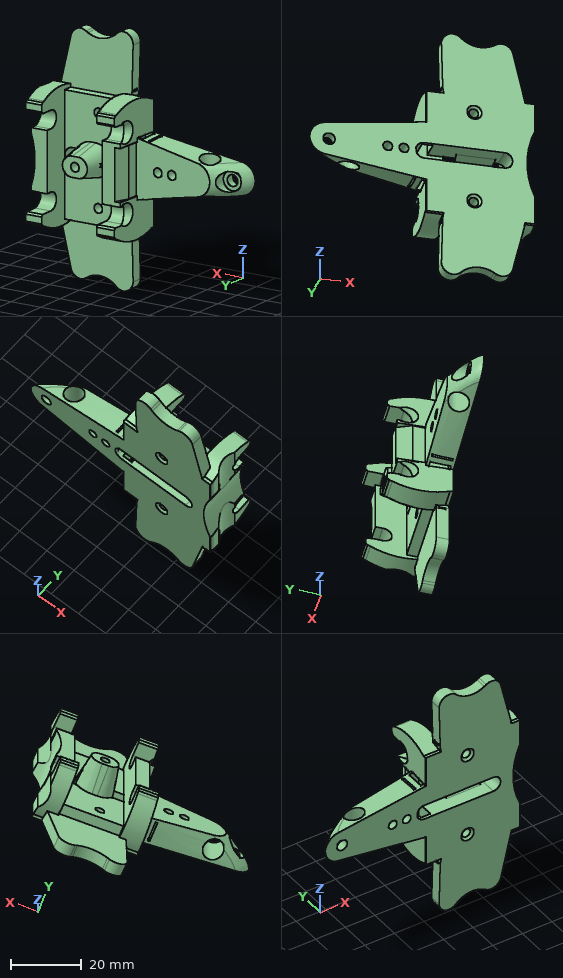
import cadquery as cq
import math


body_left = 33.9
body_right = 65.95
body_half_height = 19.0
foot_depth = 1.1
edge_chamfer = 0.2
block_depth = 7.1
edge_scallop_half_height = 10.6
edge_scallop_depth = 2.45

wing_thickness = 3.9
wing_half_span = 38.2
wing_root_left = 39.15
wing_root_right = 63.0
wing_kink = (38.85, 20.6)
inner_lobe_radius = 3.35
inner_lobe_x = 41.8
outer_lobe_radius = 3.35
outer_lobe_center = (56.1, 33.5)
wing_valley_radius = 7.9
wing_flat_length = 0.8
wing_slit_z = 21.0
wing_slit_height = 0.45
wing_slit_depth = 2.05

tail_depth = 8.0
tail_root_x = 34.65
tail_root_half_height = 9.15
tail_end_radius = 5.0
nose_sections = [(0.0, 0.0), (3.05, 2.8), (tail_depth, 10.15)]
eye_x = 5.7
eye_diameter = 3.4
eye_recess_diameter = 6.0
eye_recess_floor = 3.05
cross_hole_diameter = 6.0
cross_hole_x = 12.5
cross_hole_y = 4.1
tail_hole_positions = [22.8, 27.55]
tail_hole_diameter = 2.75
tail_slits = [(30.6, 31.2), (33.05, 36.25)]
slit_start = 1.1

lug_depth = 19.0
lug_half_height = 20.7
lug_crest_y = 8.85
left_lug_inner_x = 40.9
right_lug_inner_x = 59.4
left_lug_tip_x = 35.0
right_lug_tip_x = 64.7
right_lug_waist = [(65.7, 4.05), (64.6, 5.8), (64.05, 8.5), (64.95, 11.8)]
hook_nose = [(17.7, 18.4), (18.5, 18.1), (lug_depth, 17.5)]
hook_tip_bevel = 0.6
saddle_radius = 2.75
saddle_z = 12.05
saddle_y = 14.1
saddle_flare_radius = 3.4
saddle_flare_x = 34.5
saddle_flare_y = 13.6
saddle_flare_depth = 2.3
lug_middle_depth = 16.2
ramp_half_height = 7.95
ramp_face_x = 34.8
ramp_start_y = 11.75
ramp_end_x = 36.65

slot_left = 31.1
slot_right = 59.2
slot_width = 4.9
slot_depth = block_depth
post_x = 50.1
post_top_y = 16.1
post_left_flat = 49.1
post_base_y = 4.6
post_base_radius = 5.65
post_base_flat = 1.4
post_top_radius = 3.1
post_top_flat = 2.05
post_groove_top_y = 10.85
post_groove_top_width = 1.0
post_hole_diameter = 2.75
mount_x = 48.1
mount_z = 14.05
mount_hole_diameter = 2.75
mount_sink_diameter = 4.3
mount_sink_depth = 0.8


def front_plane(y=0.0):
    """Plane parallel to the front face at depth y; local axes are X and Z."""
    return cq.Workplane("XZ", origin=(0, y, 0))


def cylinder_y(x, z, diameter, start, end):
    return front_plane(start).center(x, z).circle(diameter / 2).extrude(start - end)


def box(x0, x1, y0, y1, z0, z1):
    return cq.Workplane("XY").box(x1 - x0, y1 - y0, z1 - z0, centered=False).translate((x0, y0, z0))


def cross_tangent(center, radius, other, other_radius, side):
    """Ends of the line that touches two separate circles and crosses between them."""
    heading = math.atan2(other[1] - center[1], other[0] - center[0])
    heading += side * math.acos((radius + other_radius) / math.dist(center, other))
    start = (center[0] + radius * math.cos(heading), center[1] + radius * math.sin(heading))
    end = (other[0] - other_radius * math.cos(heading), other[1] - other_radius * math.sin(heading))
    return start, end


def right_tangent_point(center, radius, corner):
    """Tangency on the right of a circle for a line from a corner below it."""
    dx = corner[0] - center[0]
    dz = corner[1] - center[1]
    angle = math.atan2(dz, dx) + math.acos(radius / math.hypot(dx, dz))
    return (center[0] + radius * math.cos(angle), center[1] + radius * math.sin(angle))


def wing():
    lobe = (inner_lobe_x, wing_half_span - inner_lobe_radius)
    span = math.dist(lobe, outer_lobe_center)
    to_inner = math.hypot(wing_valley_radius + inner_lobe_radius, wing_flat_length)
    to_outer = math.hypot(wing_valley_radius + outer_lobe_radius, wing_flat_length)
    along = (span**2 + to_inner**2 - to_outer**2) / (2 * span)
    across = math.sqrt(to_inner**2 - along**2)
    ux = (outer_lobe_center[0] - lobe[0]) / span
    uz = (outer_lobe_center[1] - lobe[1]) / span
    valley = (lobe[0] + along * ux - across * uz, lobe[1] + along * uz + across * ux)
    inner_end, valley_start = cross_tangent(lobe, inner_lobe_radius, valley, wing_valley_radius, 1)
    outer_start, valley_end = cross_tangent(
        outer_lobe_center, outer_lobe_radius, valley, wing_valley_radius, -1
    )
    root_right = (wing_root_right, body_half_height)
    outer_end = right_tangent_point(outer_lobe_center, outer_lobe_radius, root_right)
    return (
        front_plane()
        .moveTo(wing_root_left, 0)
        .lineTo(wing_root_left, body_half_height)
        .lineTo(*wing_kink)
        .lineTo(lobe[0] - inner_lobe_radius, lobe[1])
        .threePointArc((lobe[0], wing_half_span), inner_end)
        .lineTo(*valley_start)
        .threePointArc((valley[0], valley[1] - wing_valley_radius), valley_end)
        .lineTo(*outer_start)
        .threePointArc((outer_lobe_center[0], outer_lobe_center[1] + outer_lobe_radius), outer_end)
        .lineTo(*root_right)
        .lineTo(wing_root_right, 0)
        .close()
        .extrude(-wing_thickness)
    )


def tail():
    """Tapered arm whose round nose leans back as it gets deeper."""
    body = cq.Workplane("XZ")
    level = 0.0
    for y, nose_x in nose_sections:
        center_x = nose_x + tail_end_radius
        dx = tail_root_x - center_x
        angle = math.atan2(tail_root_half_height, dx) + math.acos(
            tail_end_radius / math.hypot(dx, tail_root_half_height)
        )
        tangent_x = center_x + tail_end_radius * math.cos(angle)
        tangent_z = tail_end_radius * math.sin(angle)
        body = (
            body.workplane(offset=level - y)
            .moveTo(tail_root_x, -tail_root_half_height)
            .lineTo(tangent_x, -tangent_z)
            .threePointArc((nose_x, 0), (tangent_x, tangent_z))
            .lineTo(tail_root_x, tail_root_half_height)
            .close()
        )
        level = y
    return body.loft()


def lug_side_profile(x_start, x_end):
    """Upper hook and middle of a lug, mirrored to make the full lug."""
    tip_bottom_z = saddle_z + saddle_radius
    lip_z = saddle_z - saddle_radius
    upper = (
        cq.Workplane("YZ", origin=(x_start, 0, 0))
        .lineTo(0, body_half_height)
        .lineTo(foot_depth, body_half_height)
        .threePointArc((lug_crest_y, lug_half_height), hook_nose[0])
        .lineTo(*hook_nose[1])
        .lineTo(*hook_nose[2])
        .lineTo(lug_depth, tip_bottom_z + hook_tip_bevel)
        .lineTo(lug_depth - hook_tip_bevel, tip_bottom_z)
        .lineTo(saddle_y, tip_bottom_z)
        .threePointArc((saddle_y - saddle_radius, saddle_z), (saddle_y, lip_z))
        .lineTo(lug_middle_depth, lip_z)
        .lineTo(lug_middle_depth, 0)
        .close()
        .extrude(x_end - x_start)
    )
    return upper.union(upper.mirror("XY"))


def extrude_plan(sketch):
    return sketch.close().extrude(wing_half_span, both=True)


def left_lug():
    plan = extrude_plan(
        cq.Workplane("XY")
        .moveTo(body_left + edge_chamfer, 0)
        .lineTo(body_left, edge_chamfer)
        .lineTo(left_lug_tip_x, lug_depth)
        .lineTo(left_lug_inner_x, lug_depth)
        .lineTo(left_lug_inner_x, 0)
    )
    lug = lug_side_profile(body_left, left_lug_inner_x).intersect(plan)
    ramp = (
        cq.Workplane("XY")
        .moveTo(body_left, tail_depth)
        .lineTo(ramp_face_x, tail_depth)
        .lineTo(ramp_face_x, ramp_start_y)
        .lineTo(ramp_end_x, lug_middle_depth)
        .lineTo(body_left, lug_middle_depth)
        .close()
        .extrude(ramp_half_height, both=True)
    )
    lug = lug.cut(ramp)
    for side in (1, -1):
        flare = cq.Solid.makeCone(
            saddle_flare_radius,
            saddle_radius - (saddle_y - saddle_flare_y),
            saddle_flare_depth,
            pnt=cq.Vector(saddle_flare_x, saddle_flare_y, side * saddle_z),
            dir=cq.Vector(1, 0, 0),
        )
        lug = lug.cut(cq.Workplane(flare))
    return lug


def right_lug():
    plan = extrude_plan(
        cq.Workplane("XY")
        .moveTo(right_lug_inner_x, 0)
        .lineTo(body_right - edge_chamfer, 0)
        .lineTo(body_right, edge_chamfer)
        .lineTo(body_right, foot_depth)
        .lineTo(*right_lug_waist[0])
        .spline(right_lug_waist[1:], includeCurrent=True)
        .lineTo(right_lug_tip_x, lug_depth)
        .lineTo(right_lug_inner_x, lug_depth)
    )
    return lug_side_profile(right_lug_inner_x, body_right).intersect(plan)


def post():
    stem = front_plane().center(post_left_flat + post_base_flat / 2, 0)
    stem = stem.slot2D(post_base_flat + 2 * post_base_radius, 2 * post_base_radius).extrude(-post_base_y)
    body = (
        front_plane(post_base_y)
        .center(post_left_flat + post_base_flat / 2, 0)
        .slot2D(post_base_flat + 2 * post_base_radius, 2 * post_base_radius)
        .workplane(offset=post_base_y - post_top_y)
        .center((post_top_flat - post_base_flat) / 2, 0)
        .slot2D(post_top_flat + 2 * post_top_radius, 2 * post_top_radius)
        .loft(ruled=True)
    )
    groove = (
        cq.Workplane("YZ", origin=(left_lug_inner_x, 0, 0))
        .moveTo(0, -slot_width / 2)
        .lineTo(post_base_y, -slot_width / 2)
        .lineTo(post_groove_top_y, -post_groove_top_width / 2)
        .lineTo(post_groove_top_y, post_groove_top_width / 2)
        .lineTo(post_base_y, slot_width / 2)
        .lineTo(0, slot_width / 2)
        .close()
        .extrude(slot_right - left_lug_inner_x)
    )
    hole = cylinder_y(post_x, 0, post_hole_diameter, 0, post_top_y)
    return body.union(stem).cut(groove).cut(hole)


def edge_scallop():
    return (
        front_plane()
        .moveTo(body_right, -edge_scallop_half_height)
        .threePointArc((body_right - edge_scallop_depth, 0), (body_right, edge_scallop_half_height))
        .close()
        .extrude(-lug_depth)
    )


block = box(left_lug_inner_x, right_lug_inner_x, 0, block_depth, -body_half_height, body_half_height)
upper_wing = wing()
body = block.union(upper_wing).union(upper_wing.mirror("XY"))
body = body.union(left_lug()).union(right_lug()).union(tail()).cut(edge_scallop())

slot = (
    front_plane()
    .center((slot_left + slot_right) / 2, 0)
    .slot2D(slot_right - slot_left, slot_width)
    .extrude(-slot_depth)
)
body = body.cut(slot).union(post())

body = body.cut(cylinder_y(eye_x, 0, eye_diameter, 0, tail_depth))
body = body.cut(cylinder_y(eye_x, 0, eye_recess_diameter, eye_recess_floor, tail_depth))
for hole_x in tail_hole_positions:
    body = body.cut(cylinder_y(hole_x, 0, tail_hole_diameter, 0, tail_depth))
cross_hole = (
    cq.Workplane("XY")
    .center(cross_hole_x, cross_hole_y)
    .circle(cross_hole_diameter / 2)
    .extrude(tail_root_half_height, both=True)
)
body = body.cut(cross_hole)

for slit_left, slit_right in tail_slits:
    body = body.cut(
        box(slit_left, slit_right, slit_start, block_depth, -tail_root_half_height, tail_root_half_height)
    )
for side in (1, -1):
    slit_bottom = side * wing_slit_z - wing_slit_height / 2
    slit_top = slit_bottom + wing_slit_height
    body = body.cut(
        box(body_left, left_lug_inner_x, slit_start, slit_start + wing_slit_depth, slit_bottom, slit_top)
    )

for side in (1, -1):
    body = body.cut(cylinder_y(mount_x, side * mount_z, mount_hole_diameter, 0, block_depth))
    sink = cq.Solid.makeCone(
        mount_sink_diameter / 2,
        mount_hole_diameter / 2,
        mount_sink_depth,
        pnt=cq.Vector(mount_x, 0, side * mount_z),
        dir=cq.Vector(0, 1, 0),
    )
    body = body.cut(cq.Workplane(sink))

result = body